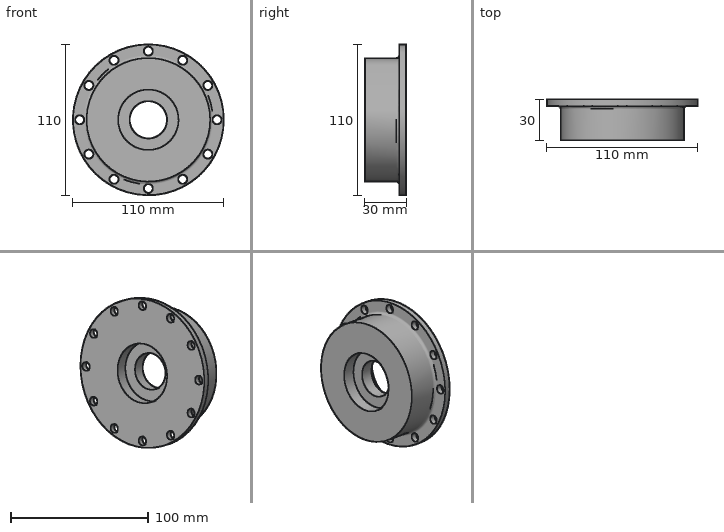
import cadquery as cq
import math

flange_diameter = 110.0
flange_thickness = 5.0
hub_diameter = 90.0
overall_length = 30.0
root_fillet_radius = 2.0

bore_diameter = 27.0
counterbore_diameter = 44.0
counterbore_depth = 10.0

bolt_hole_diameter = 6.4
bolt_circle_diameter = 100.0
bolt_hole_count = 12

hub_length = overall_length - flange_thickness


def cylinder_along_y(diameter, start_y, length, x=0.0, z=0.0):
    """Solid cylinder that starts at start_y and runs toward +Y."""
    start = cq.Vector(x, start_y, z)
    return cq.Workplane(cq.Solid.makeCylinder(diameter / 2, length, start, cq.Vector(0, 1, 0)))


def make_body():
    """Hub and flange, with a concave fillet where the hub meets the flange."""
    hub_radius = hub_diameter / 2
    flange_radius = flange_diameter / 2
    fillet_start_y = hub_length - root_fillet_radius
    arc_mid_offset = root_fillet_radius * (1 - math.sqrt(0.5))
    return (
        cq.Workplane("XY")
        .lineTo(hub_radius, 0)
        .lineTo(hub_radius, fillet_start_y)
        .threePointArc(
            (hub_radius + arc_mid_offset, hub_length - arc_mid_offset),
            (hub_radius + root_fillet_radius, hub_length),
        )
        .lineTo(flange_radius, hub_length)
        .lineTo(flange_radius, overall_length)
        .lineTo(0, overall_length)
        .close()
        .revolve(360, (0, 0, 0), (0, 1, 0))
    )


def cut_stepped_bore(body):
    """Through bore with an equal counterbore in each end face."""
    body = body.cut(cylinder_along_y(bore_diameter, 0, overall_length))
    for start_y in (0, overall_length - counterbore_depth):
        body = body.cut(cylinder_along_y(counterbore_diameter, start_y, counterbore_depth))
    return body


def cut_bolt_holes(body):
    """Evenly spaced through holes in the flange."""
    bolt_circle_radius = bolt_circle_diameter / 2
    for index in range(bolt_hole_count):
        angle = 2 * math.pi * index / bolt_hole_count
        hole = cylinder_along_y(
            bolt_hole_diameter,
            hub_length,
            flange_thickness,
            x=bolt_circle_radius * math.cos(angle),
            z=bolt_circle_radius * math.sin(angle),
        )
        body = body.cut(hole)
    return body


result = cut_bolt_holes(cut_stepped_bore(make_body()))